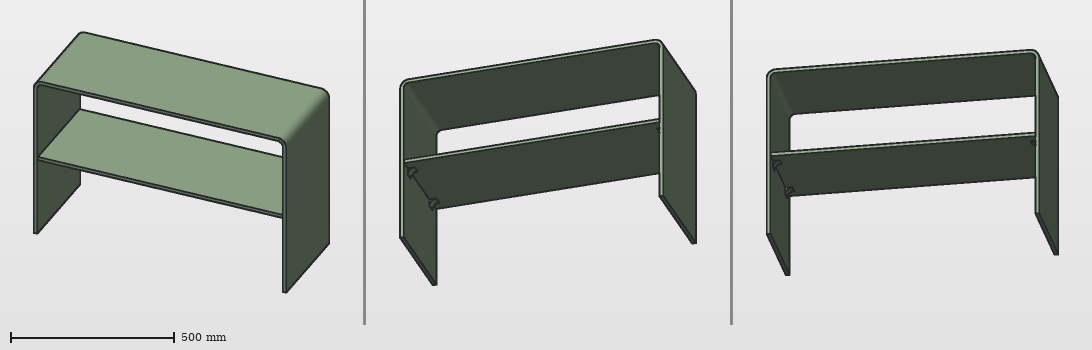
import cadquery as cq
import math

WIDTH = 850.0
DEPTH = 320.0
HEIGHT = 550.0
SHEET = 12.0
BEND_RADIUS = 29.0

SHELF_TOP = 274.0
SHELF_SETBACK = 5.0

BLOCK_LEG = 22.0
BLOCK_LENGTH = 30.0
BLOCK_INSET = 40.0

INNER_HALF_WIDTH = WIDTH / 2 - SHEET
SHELF_BOTTOM = SHELF_TOP - SHEET
SHELF_DEPTH = DEPTH - 2 * SHELF_SETBACK


def make_frame():
    """Sheet bent into two legs and a top, open underneath."""
    outer = (
        cq.Workplane("XY")
        .box(WIDTH, DEPTH, HEIGHT, centered=(True, True, False))
        .edges("|Y and >Z")
        .fillet(BEND_RADIUS)
    )
    opening = (
        cq.Workplane("XY")
        .box(2 * INNER_HALF_WIDTH, DEPTH, HEIGHT - SHEET, centered=(True, True, False))
        .edges("|Y and >Z")
        .fillet(BEND_RADIUS - SHEET)
    )
    return outer.cut(opening)


def make_shelf():
    """Flat shelf that fits between the legs."""
    return (
        cq.Workplane("XY")
        .workplane(offset=SHELF_BOTTOM)
        .box(2 * INNER_HALF_WIDTH, SHELF_DEPTH, SHEET, centered=(True, True, False))
    )


def make_block(x_side, y_side):
    """Concave corner block touching one leg and the underside of the shelf."""
    wall_x = x_side * INNER_HALF_WIDTH
    tip_x = wall_x - x_side * BLOCK_LEG
    low_z = SHELF_BOTTOM - BLOCK_LEG
    arc_reach = BLOCK_LEG * math.sqrt(0.5)
    center_y = y_side * (DEPTH / 2 - BLOCK_INSET - BLOCK_LENGTH / 2)
    return (
        cq.Workplane("XZ", origin=(0, center_y, 0))
        .moveTo(wall_x, SHELF_BOTTOM)
        .lineTo(tip_x, SHELF_BOTTOM)
        .threePointArc((tip_x + x_side * arc_reach, low_z + arc_reach), (wall_x, low_z))
        .close()
        .extrude(BLOCK_LENGTH / 2, both=True)
    )


frame = make_frame()
shelf = make_shelf()
blocks = [make_block(x_side, y_side) for x_side in (-1, 1) for y_side in (-1, 1)]

result = cq.Compound.makeCompound([frame.val(), shelf.val(), *[block.val() for block in blocks]])